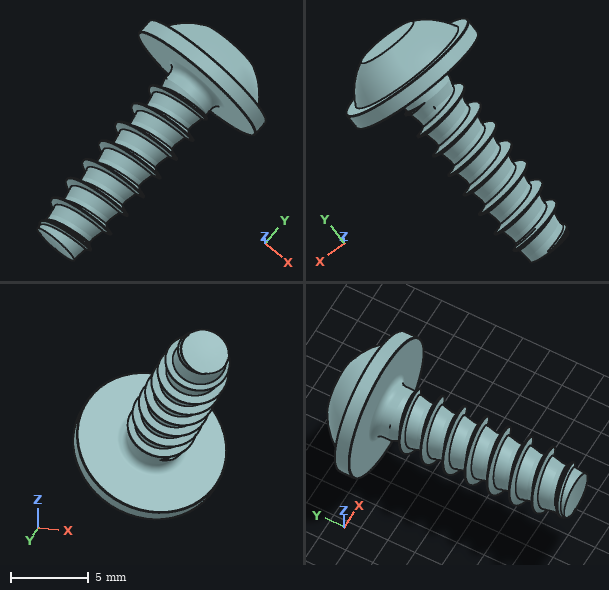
import cadquery as cq
import math

TOTAL_LENGTH = 17.2

FLANGE_DIAMETER = 10.0
FLANGE_RADIUS = FLANGE_DIAMETER / 2
FLANGE_THICKNESS = 1.1
FLANGE_CHAMFER = 0.05
DOME_HEIGHT = 2.1
DOME_BASE_RADIUS = 4.2
DOME_TOP_RADIUS = 2.15
HEAD_HEIGHT = FLANGE_THICKNESS + DOME_HEIGHT

SHANK_LENGTH = TOTAL_LENGTH - HEAD_HEIGHT
NECK_RADIUS = 1.79
NECK_FILLET = 0.58
NECK_LENGTH = 1.14
NECK_TAPER_LENGTH = 0.72
CORE_RADIUS = 1.57
TIP_DISH_RADIUS = 1.5
TIP_DISH_DEPTH = 0.09

CREST_START = 0.93
RAMP_TURNS = 1.0
FULL_TURNS = 5.5
RUNOUT_TURNS = 1.5
PITCH = (SHANK_LENGTH - CREST_START) / (RAMP_TURNS + FULL_TURNS + RUNOUT_TURNS)
THREAD_OVERLAP = 0.02
BURIED_RADIUS = CORE_RADIUS - THREAD_OVERLAP

PROFILE_OFFSETS = (-0.31, -0.17, -0.03, 0.05, 0.2, 1.07)
RAMP_RADII = (BURIED_RADIUS, 1.72, 1.93, 1.93, 1.74, BURIED_RADIUS)
FULL_RADII = (BURIED_RADIUS, 1.79, 2.25, 2.25, 1.74, BURIED_RADIUS)
END_RADII = (BURIED_RADIUS, BURIED_RADIUS, 1.62, 1.62, 1.58, BURIED_RADIUS)

ORIGIN = cq.Vector(0, 0, 0)
LOCAL_X = cq.Vector(1, 0, 0)
LOCAL_Z = cq.Vector(0, 0, 1)


def make_head_and_core():
    """Revolve the half section of the head, neck, core and tip about the Y axis."""
    dome_centre = FLANGE_THICKNESS + (
        DOME_TOP_RADIUS**2 + DOME_HEIGHT**2 - DOME_BASE_RADIUS**2
    ) / (2 * DOME_HEIGHT)
    dome_radius = math.hypot(DOME_BASE_RADIUS, FLANGE_THICKNESS - dome_centre)
    dome_mid_radius = (DOME_BASE_RADIUS + DOME_TOP_RADIUS) / 2
    dome_mid_height = dome_centre + math.sqrt(dome_radius**2 - dome_mid_radius**2)

    dish_sphere_radius = (TIP_DISH_RADIUS**2 + TIP_DISH_DEPTH**2) / (2 * TIP_DISH_DEPTH)
    section = (
        cq.Workplane("XY")
        .moveTo(0, HEAD_HEIGHT)
        .lineTo(DOME_TOP_RADIUS, HEAD_HEIGHT)
        .threePointArc((dome_mid_radius, dome_mid_height), (DOME_BASE_RADIUS, FLANGE_THICKNESS))
        .lineTo(FLANGE_RADIUS - FLANGE_CHAMFER, FLANGE_THICKNESS)
        .lineTo(FLANGE_RADIUS, FLANGE_THICKNESS - FLANGE_CHAMFER)
        .lineTo(FLANGE_RADIUS, FLANGE_CHAMFER)
        .lineTo(FLANGE_RADIUS - FLANGE_CHAMFER, 0)
        .lineTo(NECK_RADIUS + NECK_FILLET, 0)
        .radiusArc((NECK_RADIUS, -NECK_FILLET), -NECK_FILLET)
        .lineTo(NECK_RADIUS, -NECK_LENGTH)
        .lineTo(CORE_RADIUS, -NECK_LENGTH - NECK_TAPER_LENGTH)
        .lineTo(CORE_RADIUS, -SHANK_LENGTH)
        .lineTo(TIP_DISH_RADIUS, -SHANK_LENGTH)
        .radiusArc((0, TIP_DISH_DEPTH - SHANK_LENGTH), -dish_sphere_radius)
        .close()
    )
    return section.revolve(360, (0, 0, 0), (0, 1, 0))


def make_helix(turns, offset, start_radius, end_radius):
    """Helix about local Z from the local X axis, with a radius that stays level or grows evenly."""
    height = PITCH * turns
    if start_radius == end_radius:
        helix = cq.Wire.makeHelix(PITCH, height, start_radius)
    else:
        cone_angle = math.atan2(end_radius - start_radius, height)
        slant = 1 / math.cos(cone_angle)
        helix = cq.Wire.makeHelix(
            PITCH * slant, height * slant, start_radius, angle=math.degrees(cone_angle)
        )
    return helix.translate(cq.Vector(0, 0, offset)).Edges()[0]


def make_stretch(turns, offsets, start_radii, end_radii):
    """Helical faces of one stretch of thread, closed all round but open at both ends."""
    helices = [make_helix(turns, *point) for point in zip(offsets, start_radii, end_radii)]
    following = helices[1:] + helices[:1]
    return [cq.Face.makeRuledSurface(*pair) for pair in zip(helices, following)]


def place_at_turn(faces, turn):
    """Move faces along the screw motion to where the crest line has made this many turns."""
    lift = cq.Vector(0, 0, CREST_START + PITCH * turn)
    return [face.rotate(ORIGIN, LOCAL_Z, 360 * turn).translate(lift) for face in faces]


def turn_end_over_end(faces):
    """Half turn about local X: a growing right-handed stretch becomes a shrinking one."""
    return [face.rotate(ORIGIN, LOCAL_X, 180) for face in faces]


def make_end_face(radii):
    """Flat face with the thread profile, in the half plane through local Z and X."""
    corners = [cq.Vector(radius, 0, offset) for offset, radius in zip(PROFILE_OFFSETS, radii)]
    return cq.Face.makeFromWires(cq.Wire.makePolygon(corners, close=True))


def make_thread():
    """Right-handed thread, trimmed to the shank between the neck and the tip face."""
    runout_start = RAMP_TURNS + FULL_TURNS
    thread_end = runout_start + RUNOUT_TURNS
    ramp = make_stretch(RAMP_TURNS, PROFILE_OFFSETS, RAMP_RADII, FULL_RADII)
    full = make_stretch(FULL_TURNS, PROFILE_OFFSETS, FULL_RADII, FULL_RADII)
    flipped_offsets = [-offset for offset in PROFILE_OFFSETS]
    runout = turn_end_over_end(make_stretch(RUNOUT_TURNS, flipped_offsets, END_RADII, FULL_RADII))

    faces = place_at_turn([make_end_face(RAMP_RADII)] + ramp, 0)
    faces += place_at_turn(full, RAMP_TURNS)
    faces += place_at_turn([make_end_face(END_RADII)] + runout, thread_end)
    thread = cq.Solid.makeSolid(cq.Shell.makeShell(faces))

    screw_plane = cq.Plane(origin=(0, 0, 0), xDir=(0, 0, -1), normal=(0, -1, 0))
    thread = cq.Workplane("XY").add(thread.fix().located(screw_plane.location))

    threaded_length = SHANK_LENGTH - NECK_LENGTH
    band = (
        cq.Workplane(screw_plane).workplane(offset=NECK_LENGTH)
        .circle(FLANGE_RADIUS).extrude(threaded_length)
    )
    return thread.intersect(band)


result = make_head_and_core().union(make_thread())